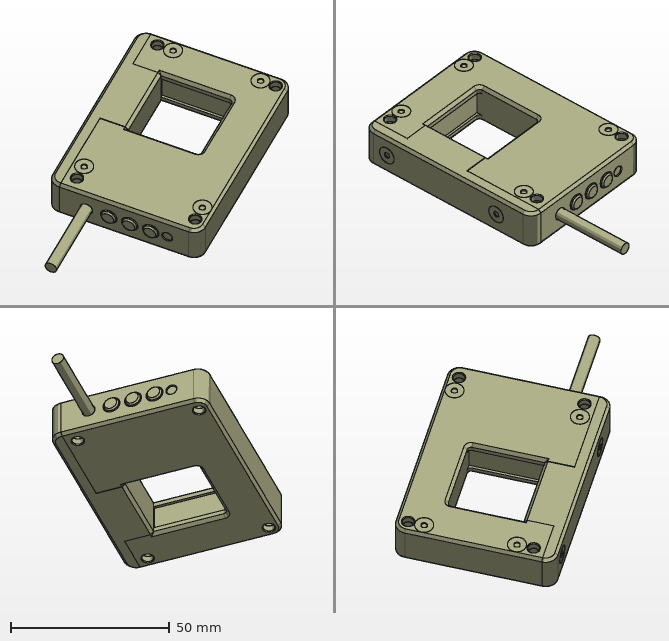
import cadquery as cq

BLOCK_WIDTH = 53.0
BLOCK_LENGTH = 70.0
BLOCK_HEIGHT = 14.0
CORNER_RADIUS = 4.0
EDGE_CHAMFER = 1.0
CHAMFER_ANGLE = 45
LEFT_FACE = -BLOCK_WIDTH / 2
FRONT_FACE = -BLOCK_LENGTH / 2
TOP_FACE = BLOCK_HEIGHT / 2

WINDOW_SIZE = 25.0
WINDOW_CENTER_Y = 8.05
WINDOW_CORNER_RADIUS = 1.3
WINDOW_CHAMFER = 1.1
WINDOW_LEFT = -WINDOW_SIZE / 2
WALL_RECESS_DEPTH = 0.9
WALL_RECESS_HEIGHT = 8.7
WINDOW_BACK = WINDOW_CENTER_Y + WINDOW_SIZE / 2

BAR_WIDTH = 4.2
TONGUE_GAP = 0.2
TONGUE_WIDTH = WINDOW_SIZE - TONGUE_GAP

HOLE_DIAMETER = 3.4
HOLE_END_DIAMETER = 3.7
HOLE_END_DEPTH = 2.3
HOLE_MOUTH_CHAMFER = 0.3
LEFT_HOLE_X = -18.5
RIGHT_HOLE_X = 22.5
BACK_HOLE_Y = 30.9
FRONT_HOLE_Y = -30.1

SCREW_DIAMETER = 6.0
SCREW_RECESS = 0.1
SOCKET_DIAMETER = 2.0
SOCKET_DEPTH = 0.6
FRONT_SCREW_Y = -24.6
TOP_SCREW_POINTS = [
    (-13.1, BACK_HOLE_Y),
    (17.3, BACK_HOLE_Y),
    (LEFT_HOLE_X, FRONT_SCREW_Y),
    (RIGHT_HOLE_X, FRONT_SCREW_Y),
]
SIDE_SCREW_YS = [25.5, -19.9]

BUTTON_COUNT = 3
BUTTON_PITCH = 7.3
FIRST_BUTTON_X = -5.2
BUTTON_XS = [FIRST_BUTTON_X + i * BUTTON_PITCH for i in range(BUTTON_COUNT)]
BUTTON_DIAMETER = 5.1
BUTTON_TIP_DIAMETER = 4.2
BUTTON_PROTRUSION = 0.9
BUTTON_TAPER_HEIGHT = 0.6
BUTTON_SEAT_DEPTH = 1.9
BUTTON_MOUTH_CHAMFER = 0.3

INDICATOR_X = 15.0
INDICATOR_DIAMETER = 3.2
INDICATOR_DEPTH = 0.3

CABLE_X = -13.0
CABLE_DIAMETER = 4.0
CABLE_LENGTH = 27.0
CABLE_MOUTH_CHAMFER = 0.2


def front_plane(x):
    """Plane on the front face at the given x, with its normal pointing out of the block (-Y)."""
    return cq.Workplane(cq.Plane((x, FRONT_FACE, 0), (1, 0, 0), (0, -1, 0)))


def disc_cut(plane, diameter, depth):
    """Cylinder that reaches into the block from a plane on its surface."""
    return plane.circle(diameter / 2).extrude(-depth)


def mouth_cone(plane, diameter, chamfer):
    """Cone that chamfers the mouth of a round hole."""
    return plane.circle(diameter / 2 + chamfer).extrude(-chamfer, taper=CHAMFER_ANGLE)


def make_block():
    """Rounded block with chamfered top and bottom edges, before it is divided."""
    block = cq.Workplane("XY").box(BLOCK_WIDTH, BLOCK_LENGTH, BLOCK_HEIGHT)
    block = block.edges("|Z").fillet(CORNER_RADIUS)
    return block.faces("<Z or >Z").chamfer(EDGE_CHAMFER)


def make_bar_space(tongue_width):
    """Full-height volume of the clamp bar: the side strip plus a tongue up to the window."""
    strip = cq.Workplane("XY").box(BAR_WIDTH, BLOCK_LENGTH, BLOCK_HEIGHT, centered=(False, True, True))
    strip = strip.translate((LEFT_FACE, 0, 0))
    tongue = cq.Workplane("XY").box(
        WINDOW_LEFT - LEFT_FACE, tongue_width, BLOCK_HEIGHT, centered=(False, False, True)
    )
    tongue = tongue.translate((LEFT_FACE, WINDOW_BACK - tongue_width, 0))
    return strip.union(tongue)


def cut_screws(body, planes):
    """Sink a screw head with a socket into the body at each surface plane."""
    for plane in planes:
        body = body.cut(disc_cut(plane, SCREW_DIAMETER, SCREW_RECESS))
        body = body.cut(disc_cut(plane, SOCKET_DIAMETER, SOCKET_DEPTH))
    return body


def window_outline(size, corner_radius):
    """Sketch of a square whose two +X corners are rounded."""
    return cq.Sketch().rect(size, size).vertices(">X").fillet(corner_radius)


def cut_window(body):
    """Cut the square window, rounded at its +X corners, with chamfered rims."""
    opening = (
        cq.Workplane("XY", origin=(0, 0, -TOP_FACE))
        .placeSketch(window_outline(WINDOW_SIZE, WINDOW_CORNER_RADIUS))
        .extrude(BLOCK_HEIGHT)
    )
    rim_sketch = window_outline(WINDOW_SIZE + 2 * WINDOW_CHAMFER, WINDOW_CORNER_RADIUS + WINDOW_CHAMFER)
    rim = (
        cq.Workplane("XY", origin=(0, 0, TOP_FACE))
        .placeSketch(rim_sketch)
        .extrude(-WINDOW_CHAMFER, taper=CHAMFER_ANGLE)
    )
    cutter = opening.union(rim).union(rim.mirror("XY"))
    return body.cut(cutter.translate((0, WINDOW_CENTER_Y, 0)))


def cut_wall_recesses(body):
    """Set back the middle of the two window walls that face along Y, leaving a lip above and below."""
    recess = cq.Workplane("XY").box(
        WINDOW_SIZE, WINDOW_SIZE + 2 * WALL_RECESS_DEPTH, WALL_RECESS_HEIGHT
    )
    return body.cut(recess.translate((0, WINDOW_CENTER_Y, 0)))


def cut_mounting_holes(body):
    """Cut the four through holes, each with widened ends and chamfered mouths."""
    for x in (LEFT_HOLE_X, RIGHT_HOLE_X):
        for y in (FRONT_HOLE_Y, BACK_HOLE_Y):
            plane = cq.Workplane("XY", origin=(x, y, TOP_FACE))
            end = disc_cut(plane, HOLE_END_DIAMETER, HOLE_END_DEPTH)
            end = end.union(mouth_cone(plane, HOLE_END_DIAMETER, HOLE_MOUTH_CHAMFER))
            body = body.cut(disc_cut(plane, HOLE_DIAMETER, BLOCK_HEIGHT))
            body = body.cut(end).cut(end.mirror("XY"))
    return body


def cut_button_seats(body):
    """Cut a blind seat with a chamfered mouth for each push button."""
    for x in BUTTON_XS:
        body = body.cut(disc_cut(front_plane(x), BUTTON_DIAMETER, BUTTON_SEAT_DEPTH))
        body = body.cut(mouth_cone(front_plane(x), BUTTON_DIAMETER, BUTTON_MOUTH_CHAMFER))
    return body


def add_cable(body):
    """Add the moulded-in cable, which leaves the front face from a small countersink."""
    body = body.cut(mouth_cone(front_plane(CABLE_X), CABLE_DIAMETER, CABLE_MOUTH_CHAMFER))
    cable = (
        front_plane(CABLE_X)
        .workplane(offset=-CABLE_MOUTH_CHAMFER)
        .circle(CABLE_DIAMETER / 2)
        .extrude(CABLE_MOUTH_CHAMFER + CABLE_LENGTH)
    )
    return body.union(cable)


def make_housing():
    """Main housing with window, holes, screws, button seats, indicator and cable."""
    housing = make_block()
    housing = cut_window(housing)
    housing = cut_wall_recesses(housing)
    housing = housing.cut(make_bar_space(WINDOW_SIZE))
    housing = cut_mounting_holes(housing)
    top_planes = [cq.Workplane("XY", origin=(x, y, TOP_FACE)) for x, y in TOP_SCREW_POINTS]
    housing = cut_screws(housing, top_planes)
    housing = cut_button_seats(housing)
    housing = housing.cut(mouth_cone(front_plane(INDICATOR_X), INDICATOR_DIAMETER, INDICATOR_DEPTH))
    return add_cable(housing)


def make_clamp_bar():
    """Clamp bar with a chamfered tongue end and two screws in its outer side."""
    bar = make_block().intersect(make_bar_space(TONGUE_WIDTH))
    bar = bar.faces(">X").edges("|Y").chamfer(WINDOW_CHAMFER)
    side_planes = [
        cq.Workplane(cq.Plane((LEFT_FACE, y, 0), (0, -1, 0), (-1, 0, 0))) for y in SIDE_SCREW_YS
    ]
    return cut_screws(bar, side_planes)


def make_button(x):
    """Push button standing on its seat, with a tapered tip."""
    straight_height = BUTTON_PROTRUSION - BUTTON_TAPER_HEIGHT
    profile = [
        (0, -BUTTON_SEAT_DEPTH),
        (BUTTON_DIAMETER / 2, -BUTTON_SEAT_DEPTH),
        (BUTTON_DIAMETER / 2, straight_height),
        (BUTTON_TIP_DIAMETER / 2, BUTTON_PROTRUSION),
        (0, BUTTON_PROTRUSION),
    ]
    button = cq.Workplane("XZ").polyline(profile).close().revolve(360, (0, 0, 0), (0, 1, 0))
    return button.rotate((0, 0, 0), (1, 0, 0), 90).translate((x, FRONT_FACE, 0))


housing = make_housing()
clamp_bar = make_clamp_bar()
buttons = [make_button(x) for x in BUTTON_XS]

result = cq.Compound.makeCompound(
    [housing.val(), clamp_bar.val(), *[button.val() for button in buttons]]
)